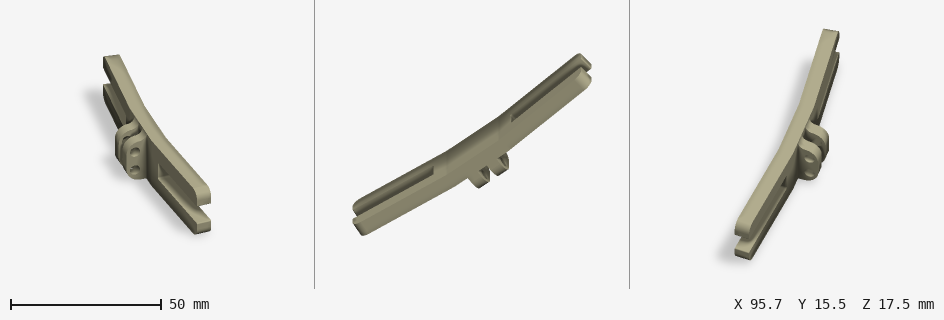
import cadquery as cq
import math

length = 95.7
height = 17.5
thickness = 5.2
arm_angle = math.radians(5.1)
bend_start = 10.5
inner_bend_radius = 5.0
outer_bend_radius = inner_bend_radius + thickness

tip_radius = 3.2
slot_width = 6.4
slot_start = 16.3
slot_end_radius = 0.7
mouth_radius = 0.4

lug_reach = 7.0
lug_thickness = 4.0
lug_gap = 3.8
lug_radius = 4.8
lug_arc_drop = 7.5
hole_diameter = 3.5
hole_reach = 4.0
hole_heights = (4.0, 10.9)

half_length = length / 2
sin_arm = math.sin(arm_angle)
cos_arm = math.cos(arm_angle)


def bend_point(radius, angle):
    """Point on the right-hand bend, whose axis is behind the plate."""
    axis_y = outer_bend_radius
    return bend_start + radius * math.sin(angle), axis_y - radius * math.cos(angle)


def mirrored(point):
    return -point[0], point[1]


def make_plate():
    front_bend = bend_point(outer_bend_radius, arm_angle)
    front_mid = bend_point(outer_bend_radius, arm_angle / 2)
    back_bend = bend_point(inner_bend_radius, arm_angle)
    back_mid = bend_point(inner_bend_radius, arm_angle / 2)
    front_tip = (half_length, front_bend[1] + (half_length - front_bend[0]) * math.tan(arm_angle))
    back_tip = (front_tip[0] - thickness * sin_arm, front_tip[1] + thickness * cos_arm)
    plate = (
        cq.Workplane("XY")
        .moveTo(-bend_start, 0)
        .lineTo(bend_start, 0)
        .threePointArc(front_mid, front_bend)
        .lineTo(*front_tip)
        .lineTo(*back_tip)
        .lineTo(*back_bend)
        .threePointArc(back_mid, (bend_start, thickness))
        .lineTo(-bend_start, thickness)
        .threePointArc(mirrored(back_mid), mirrored(back_bend))
        .lineTo(*mirrored(back_tip))
        .lineTo(*mirrored(front_tip))
        .lineTo(*mirrored(front_bend))
        .threePointArc(mirrored(front_mid), (-bend_start, 0))
        .close()
        .extrude(height)
    )
    arm_plane = cq.Plane(
        origin=(*front_bend, height / 2), xDir=(cos_arm, sin_arm, 0), normal=(sin_arm, -cos_arm, 0)
    )
    arm_length = (front_tip[0] - front_bend[0]) / cos_arm
    slot_offset = (slot_start - front_bend[0]) / cos_arm
    cutter = make_end_cutter(arm_plane, slot_offset, arm_length)
    return plate.cut(cutter).cut(cutter.mirror("YZ"))


def make_end_cutter(plane, slot_offset, arm_length):
    """Everything to remove from one arm: its slot and the corners of its two tines."""
    cutter = (
        cq.Workplane(plane)
        .center(slot_offset + arm_length / 2, 0)
        .rect(arm_length, slot_width)
        .extrude(-thickness)
        .edges(cq.selectors.ParallelDirSelector(plane.zDir))
        .fillet(slot_end_radius)
    )
    for side in (-1, 1):
        outer = side * height / 2
        inner = side * slot_width / 2
        for edge, radius, inward in ((outer, tip_radius, -side), (inner, mouth_radius, side)):
            diagonal = radius * (1 - math.sqrt(0.5))
            corner = (
                cq.Workplane(plane)
                .moveTo(arm_length, edge)
                .lineTo(arm_length - radius, edge)
                .threePointArc(
                    (arm_length - diagonal, edge + inward * diagonal),
                    (arm_length, edge + inward * radius),
                )
                .close()
                .extrude(-thickness)
            )
            cutter = cutter.union(corner)
    return cutter


def make_lug(x_start):
    """Lug with a rounded nose that blends into the top of the plate."""
    centre_y = -(lug_reach - lug_radius)
    upper_z = height - lug_arc_drop
    blend_radius = (centre_y**2 + lug_arc_drop**2 - lug_radius**2) / (2 * (lug_radius - centre_y))
    blend_tilt = math.atan2(blend_radius + centre_y, lug_arc_drop)

    def upper_arc(angle):
        return centre_y - lug_radius * math.sin(angle), upper_z + lug_radius * math.cos(angle)

    def blend_arc(angle):
        return -blend_radius + blend_radius * math.sin(angle), height - blend_radius * math.cos(angle)

    diagonal = lug_radius * math.sqrt(0.5)
    lug = (
        cq.Workplane("YZ", origin=(x_start, 0, 0))
        .moveTo(thickness / 2, 0)
        .lineTo(centre_y, 0)
        .threePointArc((centre_y - diagonal, lug_radius - diagonal), (-lug_reach, lug_radius))
        .lineTo(-lug_reach, upper_z)
        .threePointArc(upper_arc((blend_tilt + math.pi / 2) / 2), upper_arc(blend_tilt))
        .threePointArc(blend_arc((blend_tilt + math.pi / 2) / 2), (0, height))
        .lineTo(thickness / 2, height)
        .close()
        .extrude(lug_thickness)
    )
    holes = (
        cq.Workplane("YZ", origin=(x_start, 0, 0))
        .pushPoints([(-hole_reach, z) for z in hole_heights])
        .circle(hole_diameter / 2)
        .extrude(lug_thickness)
    )
    return lug.cut(holes)


result = make_plate()
for lug_start in (-lug_gap / 2 - lug_thickness, lug_gap / 2):
    result = result.union(make_lug(lug_start))